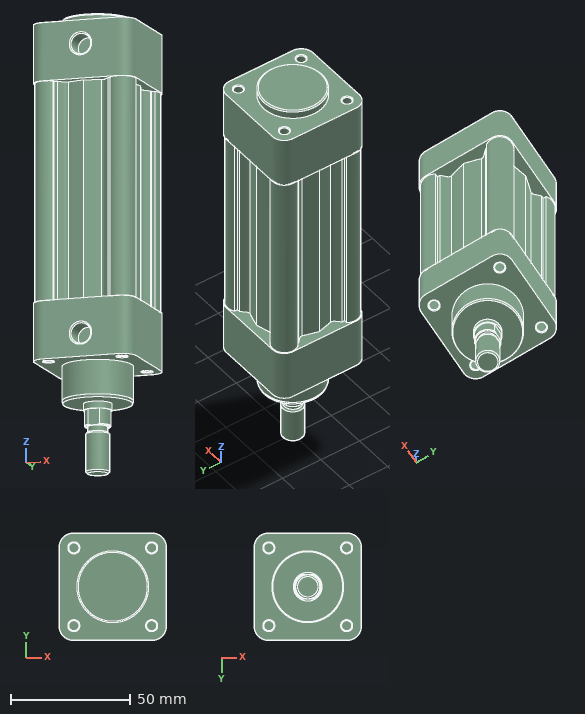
import cadquery as cq
import math


CAP_WIDTH = 45.0
CAP_HEIGHT = 25.0
CAP_CORNER_RADIUS = 6.0
CAP_HALF = CAP_WIDTH / 2

BOSS_DIAMETER = 30.0
BOSS_CHAMFER = 0.5
REAR_BOSS_HEIGHT = 4.0
FRONT_BOSS_HEIGHT = 16.0
FRONT_BOSS_CHAMFER_WIDTH = 0.4
FRONT_BOSS_CHAMFER_HEIGHT = 1.2

SCREW_SPACING = 32.5
SCREW_DIAMETER = 4.3
SCREW_DEPTH = 15.0
SCREW_CHAMFER = 0.4

PORT_DIAMETER = 8.7
PORT_DEPTH = 10.0
PORT_CHAMFER = 0.5
PORT_OFFSET = 10.0

BARREL_LENGTH = 94.0
BARREL_HALF = 22.1
LOBE_RADIUS = 6.0
LOBE_CENTER = BARREL_HALF - LOBE_RADIUS
LIP_OUTER = 12.6
LIP_INNER = 11.3
GROOVE_EDGE = 7.4
GROOVE_FLOOR = 16.7
GROOVE_RADIUS = 2.5
WALL_ANGLE = math.radians(45)
WALL_START = GROOVE_EDGE + GROOVE_RADIUS * math.sin(WALL_ANGLE)
WALL_START_HEIGHT = GROOVE_FLOOR + GROOVE_RADIUS * (1 - math.cos(WALL_ANGLE))
LIP_HEIGHT = WALL_START_HEIGHT + (LIP_INNER - WALL_START) * math.tan(WALL_ANGLE)
LOBE_EDGE_HEIGHT = LOBE_CENTER + math.sqrt(LOBE_RADIUS**2 - (LOBE_CENTER - LIP_OUTER) ** 2)
RIDGE_SHOULDER = 5.0
RIDGE_SHOULDER_HEIGHT = 17.5
RIDGE_APEX_HEIGHT = 18.8

COLLAR_DIAMETER = 12.0
COLLAR_LENGTH = 3.0
FLATS_DIAMETER = 11.3
FLATS_WIDTH = 10.0
FLATS_LENGTH = 7.0
FLATS_CHAMFER = 0.4
NECK_DIAMETER = 8.5
NECK_LENGTH = 2.3
THREAD_DIAMETER = 10.0
THREAD_TAPER = 0.8
THREAD_LENGTH = 16.9
THREAD_CHAMFER = 0.8

THREAD_TOP = THREAD_LENGTH
NECK_BOTTOM = THREAD_TOP + THREAD_TAPER
FLATS_BOTTOM = NECK_BOTTOM + NECK_LENGTH
COLLAR_BOTTOM = FLATS_BOTTOM + FLATS_LENGTH
ROD_TOP = COLLAR_BOTTOM + COLLAR_LENGTH
FRONT_CAP_BOTTOM = ROD_TOP + FRONT_BOSS_HEIGHT
BARREL_BOTTOM = FRONT_CAP_BOTTOM + CAP_HEIGHT
BARREL_TOP = BARREL_BOTTOM + BARREL_LENGTH
REAR_CAP_TOP = BARREL_TOP + CAP_HEIGHT


def countersunk_cutter(diameter, depth, chamfer):
    """Blind hole cutter along +Z from the origin, widened by a chamfer at its mouth."""
    radius = diameter / 2
    return (
        cq.Workplane("XZ")
        .moveTo(0, 0)
        .lineTo(radius + chamfer, 0)
        .lineTo(radius, chamfer)
        .lineTo(radius, depth)
        .lineTo(0, depth)
        .close()
        .revolve(360, (0, 0), (0, 1))
    )


def cap_block():
    """Cap with its outer face at Z = 0, its body above, and the holes both caps share."""
    block = (
        cq.Workplane("XY")
        .rect(CAP_WIDTH, CAP_WIDTH)
        .extrude(CAP_HEIGHT)
        .edges("|Z")
        .fillet(CAP_CORNER_RADIUS)
    )
    screw_hole = countersunk_cutter(SCREW_DIAMETER, SCREW_DEPTH, SCREW_CHAMFER)
    for x_side in (-1, 1):
        for y_side in (-1, 1):
            place = (x_side * SCREW_SPACING / 2, y_side * SCREW_SPACING / 2, 0)
            block = block.cut(screw_hole.translate(place))
    port = (
        countersunk_cutter(PORT_DIAMETER, PORT_DEPTH, PORT_CHAMFER)
        .rotate((0, 0, 0), (1, 0, 0), -90)
        .translate((0, -CAP_HALF, PORT_OFFSET))
    )
    return block.cut(port)


def make_front_cap():
    boss_radius = BOSS_DIAMETER / 2
    boss = (
        cq.Workplane("XZ")
        .moveTo(0, 0)
        .lineTo(boss_radius, 0)
        .lineTo(boss_radius, FRONT_BOSS_CHAMFER_HEIGHT - FRONT_BOSS_HEIGHT)
        .lineTo(boss_radius - FRONT_BOSS_CHAMFER_WIDTH, -FRONT_BOSS_HEIGHT)
        .lineTo(0, -FRONT_BOSS_HEIGHT)
        .close()
        .revolve(360, (0, 0), (0, 1))
    )
    return cap_block().union(boss).translate((0, 0, FRONT_CAP_BOTTOM))


def make_rear_cap():
    block = cap_block().mirror("XY").translate((0, 0, REAR_CAP_TOP))
    boss = (
        cq.Workplane("XY", origin=(0, 0, REAR_CAP_TOP))
        .circle(BOSS_DIAMETER / 2)
        .extrude(REAR_BOSS_HEIGHT)
        .faces(">Z")
        .chamfer(BOSS_CHAMFER)
    )
    return block.union(boss)


def half_side_edges():
    """Barrel outline on the +X half of the -Y side, from the centre ridge to the lobe."""
    apex = cq.Vector(0, -RIDGE_APEX_HEIGHT)
    shoulder = cq.Vector(RIDGE_SHOULDER, -RIDGE_SHOULDER_HEIGHT)
    floor_edge = cq.Vector(GROOVE_EDGE, -GROOVE_FLOOR)
    wall_start = cq.Vector(WALL_START, -WALL_START_HEIGHT)
    wall_end = cq.Vector(LIP_INNER, -LIP_HEIGHT)
    lip_outer = cq.Vector(LIP_OUTER, -LIP_HEIGHT)
    lobe_start = cq.Vector(LIP_OUTER, -LOBE_EDGE_HEIGHT)
    floor_direction = cq.Vector(1, 0)
    return [
        cq.Edge.makeLine(apex, shoulder),
        cq.Edge.makeTangentArc(shoulder, shoulder - apex, floor_edge),
        cq.Edge.makeTangentArc(floor_edge, floor_direction, wall_start),
        cq.Edge.makeLine(wall_start, wall_end),
        cq.Edge.makeLine(wall_end, lip_outer),
        cq.Edge.makeLine(lip_outer, lobe_start),
    ]


def lobe_edge():
    """Round outline of the lobe at +X, -Y."""
    diagonal = LOBE_CENTER + LOBE_RADIUS * math.cos(math.radians(45))
    return cq.Edge.makeThreePointArc(
        cq.Vector(LIP_OUTER, -LOBE_EDGE_HEIGHT),
        cq.Vector(diagonal, -diagonal),
        cq.Vector(LOBE_EDGE_HEIGHT, -LIP_OUTER),
    )


def make_barrel():
    half_side = half_side_edges()
    quarter = half_side + [edge.mirror("YZ") for edge in half_side] + [lobe_edge()]
    outline = []
    for side in range(4):
        outline += [edge.rotate(cq.Vector(), cq.Vector(0, 0, 1), 90 * side) for edge in quarter]
    section = cq.Wire.combine(outline)[0]
    solid = cq.Solid.extrudeLinear(section, [], cq.Vector(0, 0, BARREL_LENGTH))
    return cq.Workplane("XY").add(solid).translate((0, 0, BARREL_BOTTOM))


def make_rod():
    thread_radius = THREAD_DIAMETER / 2
    neck_radius = NECK_DIAMETER / 2
    rod = (
        cq.Workplane("XZ")
        .moveTo(0, 0)
        .lineTo(thread_radius - THREAD_CHAMFER, 0)
        .lineTo(thread_radius, THREAD_CHAMFER)
        .lineTo(thread_radius, THREAD_TOP)
        .lineTo(neck_radius, NECK_BOTTOM)
        .lineTo(neck_radius, FLATS_BOTTOM)
        .lineTo(FLATS_DIAMETER / 2 - FLATS_CHAMFER, FLATS_BOTTOM)
        .lineTo(FLATS_DIAMETER / 2, FLATS_BOTTOM + FLATS_CHAMFER)
        .lineTo(FLATS_DIAMETER / 2, COLLAR_BOTTOM)
        .lineTo(COLLAR_DIAMETER / 2, COLLAR_BOTTOM)
        .lineTo(COLLAR_DIAMETER / 2, ROD_TOP)
        .lineTo(0, ROD_TOP)
        .close()
        .revolve(360, (0, 0), (0, 1))
    )
    for side in (-1, 1):
        flat = (
            cq.Workplane("XY", origin=(0, side * FLATS_WIDTH, FLATS_BOTTOM))
            .rect(2 * FLATS_WIDTH, FLATS_WIDTH)
            .extrude(FLATS_LENGTH)
        )
        rod = rod.cut(flat)
    return rod


rear_cap = make_rear_cap()
barrel = make_barrel()
front_cap = make_front_cap()
rod = make_rod()

result = cq.Compound.makeCompound([
    rear_cap.val(),
    barrel.val(),
    front_cap.val(),
    rod.val(),
])